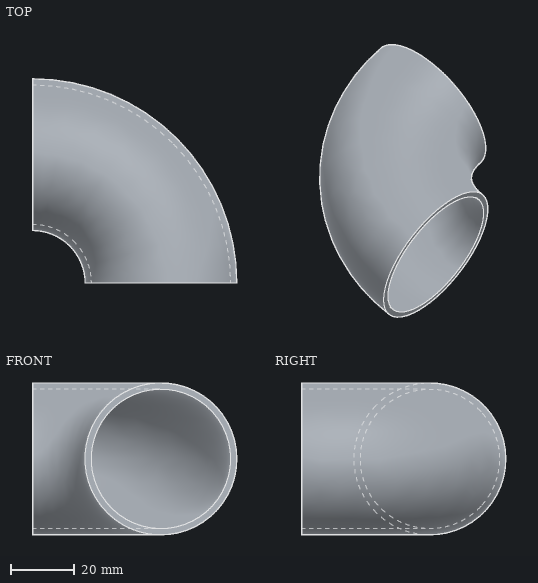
import cadquery as cq

outer_reach = 64.9
pipe_diameter = 48.3
wall_thickness = 2.0
bend_angle = 90.0

pipe_radius = pipe_diameter / 2
bore_radius = pipe_radius - wall_thickness
bend_radius = outer_reach - pipe_radius

pipe_section = (
    cq.Workplane("XZ")
    .center(bend_radius, 0)
    .circle(pipe_radius)
    .circle(bore_radius)
)

result = pipe_section.revolve(bend_angle, (-bend_radius, 0), (-bend_radius, 1))